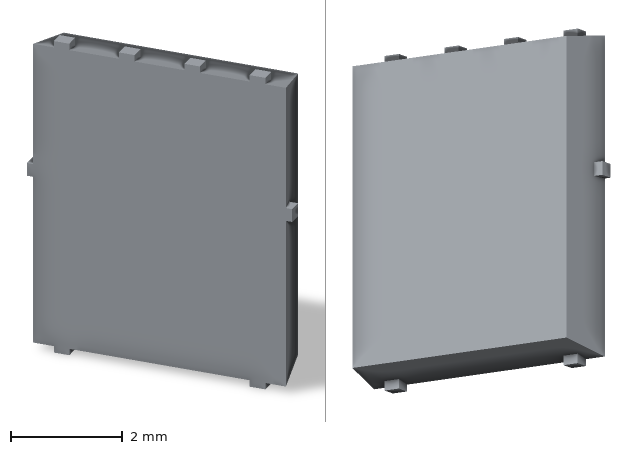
import cadquery as cq
import math

overall_width = 5.15
overall_height = 6.15
thickness = 1.0

housing_width = 4.9
housing_height = 5.9
draft_angle = 10.0

metal_thickness = 0.275
lead_pitch = 1.265
lead_count = 4
lead_length = 0.58
lead_tip_width = 0.3
lead_root_width = 0.405
lead_shoulder_start = 0.32
lead_shoulder_end = 0.38

lead_tip_z = overall_height / 2
lead_xs = [(i - (lead_count - 1) / 2) * lead_pitch for i in range(lead_count)]

pad_width = lead_xs[-1] - lead_xs[0] + lead_root_width
pad_top_z = 1.15
pad_bottom_z = lead_length - lead_tip_z
pad_height = pad_top_z - pad_bottom_z
tab_height = 0.25
tab_center_z = 0.45


def make_housing_blank():
    """Tapered block whose large face is the contact face."""
    inset = thickness * math.tan(math.radians(draft_angle))
    return (
        cq.Workplane("XZ")
        .rect(housing_width, housing_height)
        .workplane(offset=-thickness)
        .rect(housing_width - 2 * inset, housing_height - 2 * inset)
        .loft()
    )


def make_lead(x):
    """Upward lead at x: narrow tip, sloped shoulders and a wider root."""
    tip_half = lead_tip_width / 2
    root_half = lead_root_width / 2
    right_side = [
        (tip_half, lead_tip_z),
        (tip_half, lead_tip_z - lead_shoulder_start),
        (root_half, lead_tip_z - lead_shoulder_end),
        (root_half, lead_tip_z - lead_length),
    ]
    left_side = [(-px, pz) for px, pz in reversed(right_side)]
    outline = [(x + px, pz) for px, pz in right_side + left_side]
    return cq.Workplane("XZ").polyline(outline).close().extrude(-metal_thickness)


def make_pad():
    """Exposed pad joined to its side tabs and its two downward corner leads."""
    plate = (
        cq.Workplane("XZ")
        .center(0, (pad_top_z + pad_bottom_z) / 2)
        .rect(pad_width, pad_height)
        .extrude(-metal_thickness)
    )
    tab_bar = (
        cq.Workplane("XZ")
        .center(0, tab_center_z)
        .rect(overall_width, tab_height)
        .extrude(-metal_thickness)
    )
    pad = plate.union(tab_bar)
    for x in (lead_xs[0], lead_xs[-1]):
        pad = pad.union(make_lead(x).mirror("XY"))
    return pad.clean()


def make_housing(metal_bodies):
    """Housing with a matching recess for every metal body."""
    housing = make_housing_blank()
    for body in metal_bodies:
        housing = housing.cut(body)
    return housing


pad = make_pad()
leads = [make_lead(x) for x in lead_xs]
housing = make_housing([pad, *leads])

result = cq.Compound.makeCompound(
    [housing.solids().val(), pad.solids().val(), *[lead.val() for lead in leads]]
)